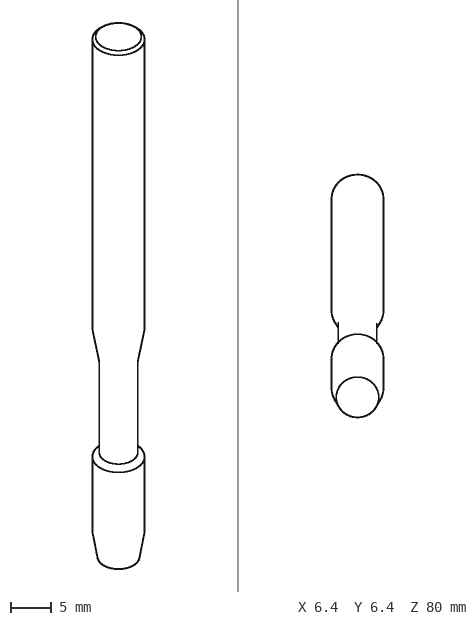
import cadquery as cq

total_length = 80.0
body_diameter = 6.4

tip_diameter = 5.2
lead_length = 3.8
shoulder_start = 15.4
head_length = 16.0

neck_diameter = 4.7
taper_start = 30.0
taper_end = 35.0
end_chamfer = 0.4

body_radius = body_diameter / 2
tip_radius = tip_diameter / 2
neck_radius = neck_diameter / 2


def revolve_profile(points):
    """Turn a closed (radius, height) outline about the Z axis."""
    return cq.Workplane("XZ").polyline(points).close().revolve(360, (0, 0), (0, 1))


def make_cutting_head():
    """Cylinder with a conical lead at the tip and a sloping shoulder down from the neck."""
    return revolve_profile([
        (0, 0),
        (tip_radius, 0),
        (body_radius, lead_length),
        (body_radius, shoulder_start),
        (neck_radius, head_length),
        (0, head_length),
    ])


def make_shank():
    """Slim neck that widens through a taper to a cylinder with a chamfered end."""
    return revolve_profile([
        (0, head_length),
        (neck_radius, head_length),
        (neck_radius, taper_start),
        (body_radius, taper_end),
        (body_radius, total_length - end_chamfer),
        (body_radius - end_chamfer, total_length),
        (0, total_length),
    ])


cutting_head = make_cutting_head()
shank = make_shank()

result = cq.Compound.makeCompound([cutting_head.val(), shank.val()])